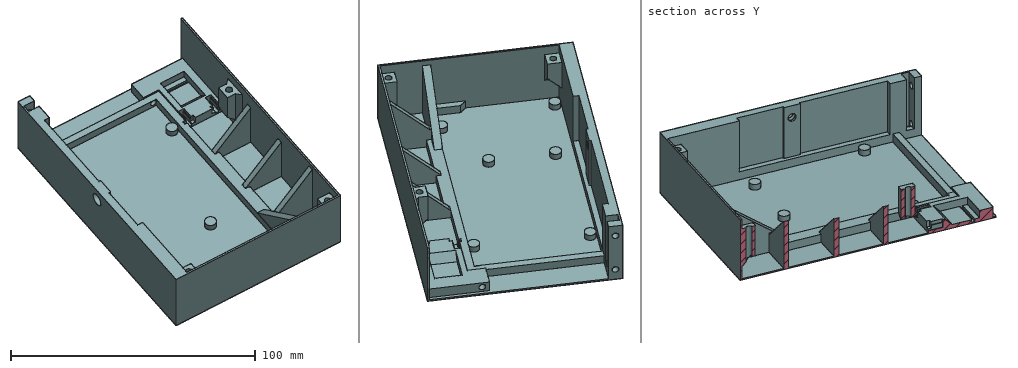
import cadquery as cq

LENGTH = 116.0
DEPTH = 81.3
HEIGHT = 29.0
WALL = 0.8
FRONT_WALL = 5.9
INNER_RIGHT = LENGTH - WALL
INNER_REAR = DEPTH - WALL

RAIL_TOP = 4.6
RAIL_OUTER_LEFT = 10.1
RAIL_INNER_LEFT = 13.1
RAIL_OUTER_REAR = 62.9
RAIL_INNER_REAR = 59.5
RAIL_WIDENING = 2.1

POST_RADIUS = 2.4
POST_TOP = 3.5
POST_CENTRES = [(28.4, 57.0), (103.6, 57.0), (79.5, 41.6), (79.5, 13.8), (27.3, 8.7), (109.9, 8.7)]
LEDGE_WIDTH = 2.5
LEDGE_FRONT = 44.9

RIB_THICKNESS = 2.4
RIB_LEFT_SIDES = [48.8, 71.2, 94.0]
TALL_RIB_END = 10.0
TALL_RIB_FLAT = 0.7
BRACE_LEFT = 87.2
BRACE_TOP = 26.5
BRACE_THICKNESS = 3.5

BOSS_SIZE = 6.0
BOSS_TOP = 24.7
BOSS_HOLE_RADIUS = 1.4
FRONT_BOSS_BASE = 10.8
REAR_BOSS_BASE = 6.4
MIDDLE_BOSS_X = 39.9
MIDDLE_BOSS_WIDTH = 6.5
FLARE = 2.1

BLOCK_LEFT = 1.3
BLOCK_RIGHT = 30.9
BLOCK_FRONT = 55.2
BLOCK_TOP = 5.5
CABLE_HOLE_RADIUS = 1.4
CABLE_HOLE_Y = 58.2
CABLE_HOLE_Z = 3.1
POCKET_LEFT = 7.5
POCKET_RIGHT = 23.2
POCKET_FRONT = 65.4
POCKET_REAR = 77.0
POCKET_FLOOR = 2.0
RAMP_LENGTH = 3.2
GROOVE_LEFT = 9.7
GROOVE_WIDTH = 1.3
AXLE_SLOTS_Y = [64.4, 77.7]
AXLE_SLOT_LEFT = 24.2
AXLE_SLOT_WIDTH = 2.7
AXLE_SLOT_FLOOR = 4.0
AXLE_CHANNEL_WIDTH = 1.9
AXLE_FLOOR = 1.7
COLLAR_LENGTH = 1.5
COLLAR_WIDTH = 5.0
COLLAR_FLOOR = 2.5

RECESS_LEFT = 14.4
RECESS_RIGHT = 82.7
RECESS_FRONT = 3.5
PAD_X = 58.0
PAD_WIDTH = 7.4
PAD_THICKNESS = 0.8
JACK_Z = 23.3
JACK_RADIUS = 1.7
JACK_SINK_RADIUS = 2.8
JACK_SINK_DEPTH = 3.2
SCREW_RADIUS = 1.4
SCREW_Y = 3.0
SCREW_HEIGHTS = [5.3, 23.7]
NUT_SLOT_LEFT = 3.4
NUT_SLOT_WIDTH = 3.5
NUT_SLOT_FLOOR = 3.1


def box(x0, x1, y0, y1, z0, z1):
    """Box given by its limits along each axis."""
    return cq.Workplane("XY").box(x1 - x0, y1 - y0, z1 - z0, centered=False).translate((x0, y0, z0))


def prism_along_x(points_yz, x0, length):
    """Outline in the YZ plane extruded towards +X."""
    return cq.Workplane("YZ").polyline(points_yz).close().extrude(length).translate((x0, 0, 0))


def prism_along_y(points_xz, y0, length):
    """Outline in the XZ plane extruded towards +Y."""
    return cq.Workplane("XZ").polyline(points_xz).close().extrude(-length).translate((0, y0, 0))


def rod(start, direction, radius, length):
    """Solid cylinder from a start point along a direction."""
    return cq.Workplane(cq.Solid.makeCylinder(radius, length, cq.Vector(*start), cq.Vector(*direction)))


def make_shell():
    cavity = box(0, INNER_RIGHT, FRONT_WALL, INNER_REAR, WALL, HEIGHT)
    return box(0, LENGTH, 0, DEPTH, 0, HEIGHT).cut(cavity)


def make_rails():
    left_rail = box(RAIL_OUTER_LEFT, RAIL_INNER_LEFT, FRONT_WALL, RAIL_OUTER_REAR, WALL, RAIL_TOP)
    rear_rail = box(RAIL_OUTER_LEFT, INNER_RIGHT, RAIL_INNER_REAR, RAIL_OUTER_REAR, WALL, RAIL_TOP)
    widening = box(RIB_LEFT_SIDES[0], RIB_LEFT_SIDES[-1], RAIL_OUTER_REAR,
                   RAIL_OUTER_REAR + RAIL_WIDENING, WALL, RAIL_TOP)
    return left_rail.union(rear_rail).union(widening)


def make_posts():
    return (cq.Workplane("XY").workplane(offset=WALL)
            .pushPoints(POST_CENTRES).circle(POST_RADIUS).extrude(POST_TOP - WALL))


def make_ledge():
    """Ledge whose front end runs into the right wall at 45 degrees."""
    left = INNER_RIGHT - LEDGE_WIDTH
    plan = [
        (INNER_RIGHT, LEDGE_FRONT),
        (INNER_RIGHT, RAIL_INNER_REAR),
        (left, RAIL_INNER_REAR),
        (left, LEDGE_FRONT + LEDGE_WIDTH),
    ]
    return (cq.Workplane("XY").workplane(offset=WALL)
            .polyline(plan).close().extrude(RAIL_TOP - WALL))


def make_rib(left, end_height, flat=0.0):
    """Rib on the rear wall; past a flat at the rail its top rises towards the wall at 45 degrees."""
    slope_start = RAIL_OUTER_REAR + flat
    outline = [
        (RAIL_OUTER_REAR, WALL),
        (INNER_REAR, WALL),
        (INNER_REAR, end_height + INNER_REAR - slope_start),
        (slope_start, end_height),
    ]
    if flat > 0:
        outline.append((RAIL_OUTER_REAR, end_height))
    return prism_along_x(outline, left, RIB_THICKNESS)


def make_brace():
    outline = [(BRACE_LEFT, RAIL_TOP), (INNER_RIGHT, RAIL_TOP), (INNER_RIGHT, BRACE_TOP)]
    return prism_along_y(outline, RAIL_OUTER_REAR - BRACE_THICKNESS, BRACE_THICKNESS)


def make_corner_boss(free_y, wall_y, base):
    """Boss in a right-hand corner; the underside falls at 45 degrees from its free corner to both walls."""
    left = INNER_RIGHT - BOSS_SIZE
    front = min(free_y, wall_y)
    tip = base + BOSS_SIZE
    boss = box(left, INNER_RIGHT, front, front + BOSS_SIZE, base, BOSS_TOP)
    slope_to_wall_y = prism_along_x([(free_y, base), (wall_y, base), (free_y, tip)], left, BOSS_SIZE)
    slope_to_right = prism_along_y([(left, base), (INNER_RIGHT, base), (left, tip)], front, BOSS_SIZE)
    return boss.cut(slope_to_wall_y.intersect(slope_to_right))


def make_middle_boss():
    """Boss on the rear wall, flared where it meets the wall, with a 45 degree underside."""
    half = MIDDLE_BOSS_WIDTH / 2
    front = INNER_REAR - BOSS_SIZE
    plan = [
        (MIDDLE_BOSS_X - half, front),
        (MIDDLE_BOSS_X + half, front),
        (MIDDLE_BOSS_X + half, INNER_REAR - FLARE),
        (MIDDLE_BOSS_X + half + FLARE, INNER_REAR),
        (MIDDLE_BOSS_X - half - FLARE, INNER_REAR),
        (MIDDLE_BOSS_X - half, INNER_REAR - FLARE),
    ]
    body = (cq.Workplane("XY").workplane(offset=REAR_BOSS_BASE)
            .polyline(plan).close().extrude(BOSS_TOP - REAR_BOSS_BASE))
    underside = [(front, REAR_BOSS_BASE), (INNER_REAR, REAR_BOSS_BASE), (front, REAR_BOSS_BASE + BOSS_SIZE)]
    width = MIDDLE_BOSS_WIDTH + 2 * FLARE
    return body.cut(prism_along_x(underside, MIDDLE_BOSS_X - width / 2, width))


def make_bosses():
    bosses = (make_middle_boss()
              .union(make_corner_boss(INNER_REAR - BOSS_SIZE, INNER_REAR, REAR_BOSS_BASE))
              .union(make_corner_boss(FRONT_WALL + BOSS_SIZE, FRONT_WALL, FRONT_BOSS_BASE)))
    half = BOSS_SIZE / 2
    corner_x = INNER_RIGHT - half
    rear_y = INNER_REAR - half
    for x, y in [(MIDDLE_BOSS_X, rear_y), (corner_x, rear_y), (corner_x, FRONT_WALL + half)]:
        bosses = bosses.cut(rod((x, y, 0), (0, 0, 1), BOSS_HOLE_RADIUS, HEIGHT))
    return bosses


def make_block():
    side = box(BLOCK_LEFT, RAIL_OUTER_LEFT, BLOCK_FRONT, INNER_REAR, WALL, BLOCK_TOP)
    main = box(BLOCK_LEFT, BLOCK_RIGHT, RAIL_OUTER_REAR, INNER_REAR, WALL, BLOCK_TOP)
    return side.union(main)


def make_latch_pocket():
    """Pocket with a ramp at its right end and a narrow groove across its floor."""
    outline = [
        (POCKET_LEFT, POCKET_FLOOR),
        (POCKET_RIGHT - RAMP_LENGTH, POCKET_FLOOR),
        (POCKET_RIGHT, BLOCK_TOP),
        (POCKET_LEFT, BLOCK_TOP),
    ]
    pocket = prism_along_y(outline, POCKET_FRONT, POCKET_REAR - POCKET_FRONT)
    groove = box(GROOVE_LEFT, GROOVE_LEFT + GROOVE_WIDTH, POCKET_FRONT, POCKET_REAR, WALL, BLOCK_TOP)
    return pocket.union(groove)


def make_axle_slot(y):
    """Stepped slot along X that ends in a wider collar seat at the block's right end."""
    def centred(left, width, floor):
        return box(left, BLOCK_RIGHT, y - width / 2, y + width / 2, floor, BLOCK_TOP)

    slot = centred(AXLE_SLOT_LEFT, AXLE_SLOT_WIDTH, AXLE_SLOT_FLOOR)
    channel = centred(AXLE_SLOT_LEFT, AXLE_CHANNEL_WIDTH, AXLE_FLOOR)
    collar = centred(BLOCK_RIGHT - COLLAR_LENGTH, COLLAR_WIDTH, COLLAR_FLOOR)
    return slot.union(channel).union(collar)


def make_cable_hole():
    start = (BLOCK_LEFT, CABLE_HOLE_Y, CABLE_HOLE_Z)
    return rod(start, (1, 0, 0), CABLE_HOLE_RADIUS, RAIL_INNER_LEFT - BLOCK_LEFT)


def make_front_recess():
    """Clearance in the inner face of the front wall, leaving a pad behind the jack hole."""
    recess = box(RECESS_LEFT, RECESS_RIGHT, RECESS_FRONT, FRONT_WALL, RAIL_TOP, HEIGHT)
    pad = box(PAD_X - PAD_WIDTH / 2, PAD_X + PAD_WIDTH / 2,
              RECESS_FRONT, RECESS_FRONT + PAD_THICKNESS, RAIL_TOP, HEIGHT)
    return recess.cut(pad)


def make_jack_hole():
    """Hole through the front wall with a deep counterbore from the outer face."""
    start = (PAD_X, 0, JACK_Z)
    hole = rod(start, (0, 1, 0), JACK_RADIUS, FRONT_WALL)
    return hole.union(rod(start, (0, 1, 0), JACK_SINK_RADIUS, JACK_SINK_DEPTH))


def make_nut_slot():
    """Screw holes in the wall's left end and the nut slot they run into."""
    right = NUT_SLOT_LEFT + NUT_SLOT_WIDTH
    slot = box(NUT_SLOT_LEFT, right, WALL, RECESS_FRONT, NUT_SLOT_FLOOR, HEIGHT)
    slot = slot.union(box(NUT_SLOT_LEFT, right, RECESS_FRONT, FRONT_WALL, RAIL_TOP, HEIGHT))
    for z in SCREW_HEIGHTS:
        slot = slot.union(rod((0, SCREW_Y, z), (1, 0, 0), SCREW_RADIUS, NUT_SLOT_LEFT))
    return slot


result = make_shell().union(make_rails()).union(make_posts()).union(make_ledge())
for rib_left in RIB_LEFT_SIDES[:-1]:
    result = result.union(make_rib(rib_left, RAIL_TOP))
result = result.union(make_rib(RIB_LEFT_SIDES[-1], TALL_RIB_END, TALL_RIB_FLAT))
result = result.union(make_brace()).union(make_bosses()).union(make_block())

result = result.cut(make_latch_pocket()).cut(make_cable_hole())
for slot_y in AXLE_SLOTS_Y:
    result = result.cut(make_axle_slot(slot_y))
result = result.cut(make_front_recess()).cut(make_jack_hole()).cut(make_nut_slot())